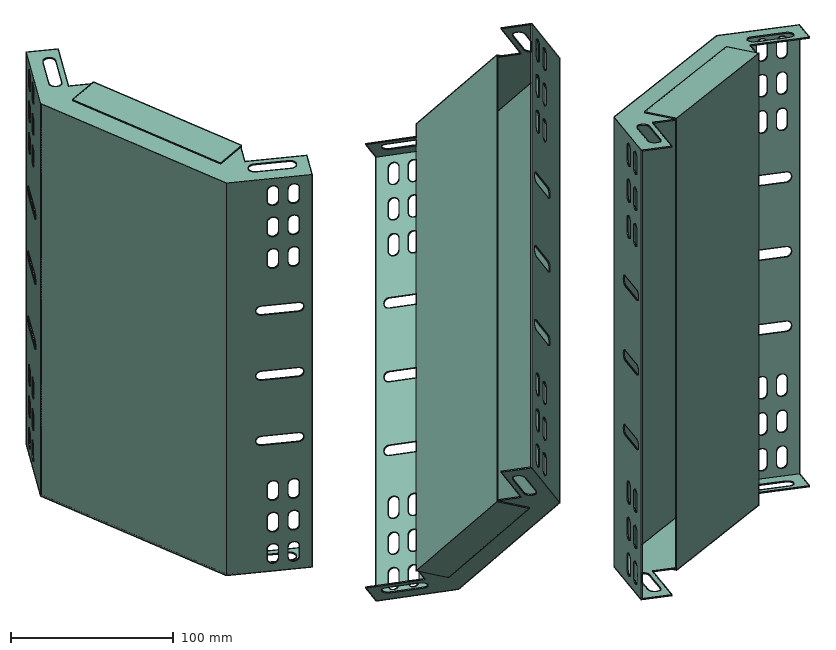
import cadquery as cq
import math

overall_width = 216.07
overall_depth = 51.99
overall_height = 303.2

sheet = 0.8
tray_height = overall_height - 2 * sheet

wing_angle = 45
diagonal = math.cos(math.radians(wing_angle))
flange_width = 20
wing_run = overall_depth - flange_width * diagonal
front_half_width = overall_width / 2 - wing_run

cover_width = 112
cover_back = 36.1
cover_lip = 22.3

middle_flange_depth = cover_back - sheet

slot_width = 7
short_slot = 15
short_slot_columns = (11.5, 24.5)
short_slot_end_distances = (13.4, 37.4, 61.7)
long_slot = 30
long_slot_from_tip = 20.2
long_slot_rows = (-50, 0, 50)

flange_slot_width = 8
flange_slot_from_tip = 22.8
flange_slot_from_face = 12.5

SIDES = (-1, 1)


def wing_point(side, from_tip, inward):
    """Section point at a distance from a wing's free edge and inward from its outer face."""
    x = overall_width / 2 - (from_tip + inward) * diagonal
    y = wing_run + (inward - from_tip) * diagonal
    return side * x, y


def symmetric_section(right_half, height):
    """Prism centred on z = 0 whose section is the right half outline and its mirror image."""
    left_half = [(-x, y) for x, y in reversed(right_half)]
    return (
        cq.Workplane("XY")
        .workplane(offset=-height / 2)
        .polyline(right_half + left_half)
        .close()
        .extrude(height)
    )


def tray_block():
    """Solid block of the tray, with a right-angled notch between each wing and the middle."""
    flange_tip = wing_point(1, 0, flange_width)
    middle_corner = (cover_width / 2, middle_flange_depth)
    width_left = flange_tip[0] - middle_corner[0]
    rise_left = flange_tip[1] - middle_corner[1]
    notch_run = (width_left - rise_left) / 2
    notch = (middle_corner[0] + notch_run, middle_corner[1] - notch_run)
    right_half = [
        (front_half_width, 0),
        wing_point(1, 0, 0),
        flange_tip,
        notch,
        middle_corner,
    ]
    return symmetric_section(right_half, tray_height)


def tray_cavity():
    """Space inside the front panel, wings and end flanges, open at the back."""
    inner_half_width = front_half_width - sheet * math.tan(math.radians(wing_angle / 2))
    reach = overall_depth
    right_half = [
        (inner_half_width, sheet),
        (inner_half_width + reach, sheet + reach),
    ]
    return symmetric_section(right_half, tray_height - 2 * sheet)


def wing_slots(side):
    """Cutters for one wing: pairs of upright slots near both ends, long slots in the middle."""
    tip_x, tip_y = wing_point(side, 0, 0)
    outer_face = cq.Workplane(
        cq.Plane(
            origin=(tip_x, tip_y, 0),
            xDir=(-side * diagonal, -diagonal, 0),
            normal=(side * diagonal, -diagonal, 0),
        )
    )
    short_points = [
        (column, end * (tray_height / 2 - distance))
        for column in short_slot_columns
        for distance in short_slot_end_distances
        for end in SIDES
    ]
    long_points = [(long_slot_from_tip, row) for row in long_slot_rows]
    cut_reach = 2 * sheet
    short_slots = (
        outer_face.pushPoints(short_points)
        .slot2D(short_slot, slot_width, 90)
        .extrude(cut_reach, both=True)
    )
    long_slots = (
        outer_face.pushPoints(long_points)
        .slot2D(long_slot, slot_width)
        .extrude(cut_reach, both=True)
    )
    return short_slots.union(long_slots)


def flange_slot(side):
    """Cutter parallel to a wing, through both end flanges."""
    return (
        cq.Workplane("XY")
        .center(*wing_point(side, flange_slot_from_tip, flange_slot_from_face))
        .slot2D(long_slot, flange_slot_width, side * wing_angle)
        .extrude(tray_height, both=True)
    )


def make_tray():
    body = tray_block().cut(tray_cavity())
    for side in SIDES:
        body = body.cut(wing_slots(side)).cut(flange_slot(side))
    return body


def make_cover():
    """C-shaped cover: the tray-height space is removed in front of the back plate."""
    block = cq.Workplane("XY").box(cover_width, cover_lip, overall_height)
    tray_space = (
        cq.Workplane("XY")
        .box(cover_width, cover_lip, tray_height)
        .translate((0, -sheet, 0))
    )
    return block.cut(tray_space).translate((0, cover_back - cover_lip / 2, 0))


tray = make_tray()
cover = make_cover()

result = cq.Compound.makeCompound([tray.val(), cover.val()])